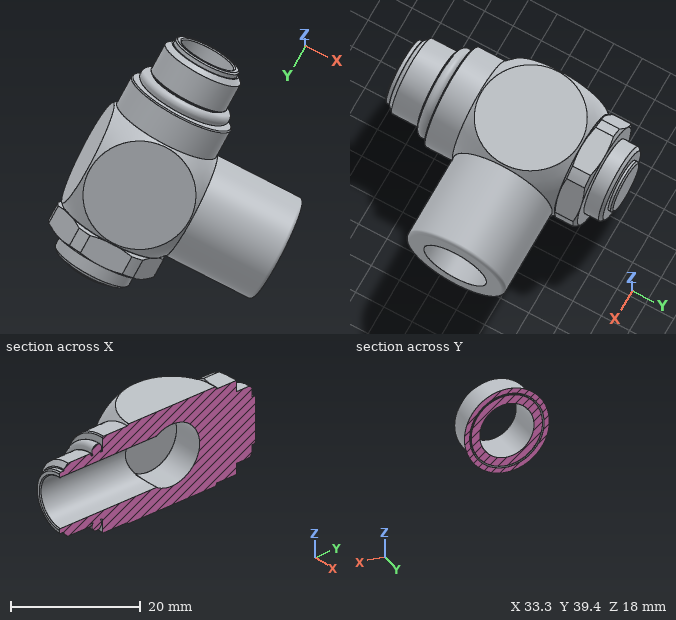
import cadquery as cq
import math


body_side = 18.0
body_half = body_side / 2
flat_face_radius = 8.7
port_radius = 8.75

socket_end = 24.0
socket_edge_fillet = 0.6
socket_bore_radius = 5.5

collar_end = 14.0
collar_chamfer = 0.2
seal_tube_radius = 1.02
seal_outer_radius = 7.8
seal_ring_radius = seal_outer_radius - seal_tube_radius
seal_clearance = 0.05
seal_position = collar_end + seal_clearance + seal_tube_radius
neck_radius = 6.1
spigot_radius = 6.6
spigot_start = 16.1
spigot_lead_in = 0.15
spigot_taper_start = 20.9
spigot_taper_end = 21.7
spigot_taper_radius = spigot_radius - (spigot_taper_end - spigot_taper_start)
spigot_tip_radius = 5.55
spigot_end = 22.6
spigot_tip_chamfer = 0.25
spigot_bore_radius = 4.57
spigot_bore_chamfer = 0.2

nut_across_flats = 17.02
nut_corner_radius = 9.25
nut_end = 12.95
nut_chamfer_depth = 0.4
boss_radius = 6.5
boss_end = 16.08
boss_chamfer = 0.5
rear_tip_radius = 4.37
rear_tip_end = 16.8
rear_tip_chamfer = 0.28


def turned(profile):
    """Solid of revolution about the Y axis from (radius, y) points."""
    return cq.Workplane("XY").polyline(profile).close().revolve(360, (0, 0), (0, 1))


def make_body():
    """Cube whose edges and corners are rounded off by a sphere."""
    sphere_radius = math.hypot(body_half, flat_face_radius)
    cube = cq.Workplane("XY").box(body_side, body_side, body_side)
    return cube.intersect(cq.Workplane("XY").sphere(sphere_radius))


def make_socket():
    socket = cq.Workplane("YZ").circle(port_radius).extrude(socket_end)
    return socket.faces(">X").edges().fillet(socket_edge_fillet)


def make_spigot():
    """Collar, neck and tapered spigot, turned as one piece."""
    return turned([
        (0, 0),
        (port_radius, 0),
        (port_radius, -(collar_end - collar_chamfer)),
        (port_radius - collar_chamfer, -collar_end),
        (neck_radius, -collar_end),
        (neck_radius, -spigot_start),
        (spigot_radius - spigot_lead_in, -spigot_start),
        (spigot_radius, -(spigot_start + spigot_lead_in)),
        (spigot_radius, -spigot_taper_start),
        (spigot_taper_radius, -spigot_taper_end),
        (spigot_tip_radius, -spigot_taper_end),
        (spigot_tip_radius, -(spigot_end - spigot_tip_chamfer)),
        (spigot_tip_radius - spigot_tip_chamfer, -spigot_end),
        (0, -spigot_end),
    ])


def make_seal():
    """O-ring seated in the neck against the collar."""
    section = cq.Workplane("XY").center(seal_ring_radius, -seal_position).circle(seal_tube_radius)
    return section.revolve(360, (-seal_ring_radius, 0), (-seal_ring_radius, 1))


def make_nut():
    """Hexagon with flats facing up and down, corners turned round and chamfered on both ends."""
    flat_radius = nut_across_flats / 2
    hexagon_diameter = nut_across_flats / math.cos(math.pi / 6)
    hexagon = (
        cq.Workplane("XZ", origin=(0, nut_end, 0))
        .polygon(6, hexagon_diameter)
        .extrude(nut_end - body_half)
    )
    envelope = turned([
        (0, body_half),
        (flat_radius, body_half),
        (nut_corner_radius, body_half + nut_chamfer_depth),
        (nut_corner_radius, nut_end - nut_chamfer_depth),
        (flat_radius, nut_end),
        (0, nut_end),
    ])
    return hexagon.intersect(envelope)


def make_rear_boss():
    return turned([
        (0, nut_end),
        (boss_radius, nut_end),
        (boss_radius, boss_end - boss_chamfer),
        (boss_radius - boss_chamfer, boss_end),
        (rear_tip_radius, boss_end),
        (rear_tip_radius, rear_tip_end - rear_tip_chamfer),
        (rear_tip_radius - rear_tip_chamfer, rear_tip_end),
        (0, rear_tip_end),
    ])


def make_socket_bore():
    """Blind bore reaching past the centre far enough to meet the whole spigot bore."""
    start = cq.Workplane("YZ", origin=(-socket_bore_radius, 0, 0))
    return start.circle(socket_bore_radius).extrude(socket_bore_radius + socket_end)


def make_spigot_bore():
    return turned([
        (0, 0),
        (spigot_bore_radius, 0),
        (spigot_bore_radius, -(spigot_end - spigot_bore_chamfer)),
        (spigot_bore_radius + spigot_bore_chamfer, -spigot_end),
        (0, -spigot_end),
    ])


result = make_body()
for piece in (make_socket(), make_spigot(), make_seal(), make_nut(), make_rear_boss()):
    result = result.union(piece)
for bore in (make_socket_bore(), make_spigot_bore()):
    result = result.cut(bore)